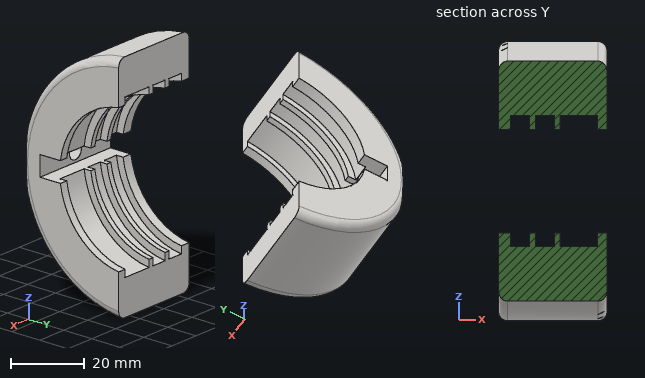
import cadquery as cq
import math

width = 29.5
height = 75.75
axis_offset = 3.0
bore_radius = 24.0
edge_radius = 2.5
flat_depth = 33.0

keyway_width = 6.6
keyway_depth = 28.0
hole_diameter = 5.0
groove_radius = 26.4
first_groove_start = 3.3
groove_width = 5.1
wide_groove_width = 10.0
rib_width = 1.7

outer_radius = math.hypot(height / 2, axis_offset)


def disc(radius, start, length):
    """Cylinder about the ring axis, measured from the X = 0 side."""
    return (
        cq.Workplane("YZ", origin=(start, axis_offset, 0))
        .circle(radius)
        .extrude(length)
    )


def split_block():
    """Block that keeps the material between the split face and the outer flat."""
    block = cq.Workplane("XY").box(width, flat_depth, height, centered=(False, False, True))
    return block.translate((0, -flat_depth, 0))


body = disc(outer_radius, 0, width).edges().fillet(edge_radius)
body = body.intersect(split_block())

body = body.cut(disc(bore_radius, 0, width))
groove_start = first_groove_start
for current_width in (groove_width, groove_width, wide_groove_width):
    body = body.cut(disc(groove_radius, groove_start, current_width))
    groove_start += current_width + rib_width

keyway = cq.Workplane("XY").box(width, keyway_depth, keyway_width, centered=(False, False, True))
body = body.cut(keyway.translate((0, -keyway_depth, 0)))

hole = (
    cq.Workplane("XZ", origin=(width / 2, 0, 0))
    .circle(hole_diameter / 2)
    .extrude(flat_depth)
)
result = body.cut(hole)